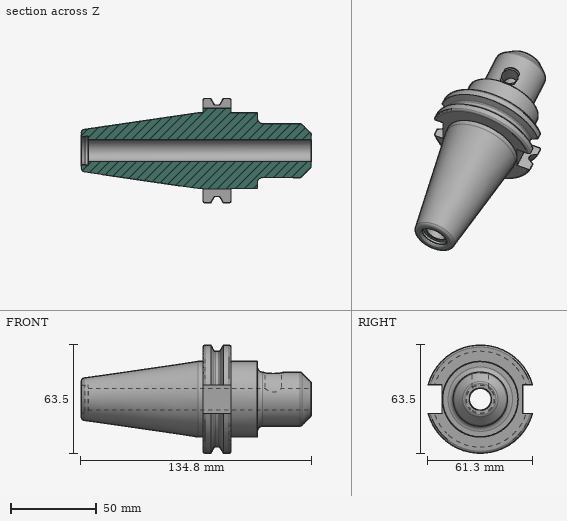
import cadquery as cq
import math

total_length = 134.8
gauge_x = 68.5
flange_start_x = 71.3
flange_end_x = 87.8
collar_end_x = 103.3
groove_middle_x = 79.5

gauge_radius = 44.5 / 2
flange_radius = 63.5 / 2
nose_radius = 31.8 / 2

taper_ratio = 7 / 24
small_end_radius = gauge_radius - gauge_x * taper_ratio / 2
small_end_fillet = 2.0

groove_mouth_width = 7.3
groove_depth = 3.6
groove_side_angle = math.radians(30)
groove_corner_fillet = 1.0
flange_edge_fillet = 1.2

collar_chamfer = 0.3
collar_root_fillet = 3.0
nose_bevel = 6.0
nose_edge_fillet = 1.8

bore_radius = 12.7 / 2
bore_lead_radius = 13.3 / 2
counterbore_radius = 16.3 / 2
counterbore_depth = 4.0
mouth_rounding = 1.0
undercut_start_depth = 2.3
undercut_radius = 16.8 / 2

slot_width = 16.7
slot_floor_front = 22.5
slot_floor_back = 25.0

screw_x = 112.4
screw_hole_diameter = 9.7
spotface_diameter = 11.9
spotface_depth = 0.7


def revolve_about_x(profile):
    """Turn a closed profile, drawn as (x, radius), about the tool axis."""
    return profile.close().revolve(360, (0, 0, 0), (1, 0, 0))


def taper():
    body = revolve_about_x(
        cq.Workplane("XY")
        .lineTo(0, small_end_radius)
        .lineTo(gauge_x, gauge_radius)
        .lineTo(flange_start_x, gauge_radius)
        .lineTo(flange_start_x, 0)
    )
    return body.faces("<X").edges().fillet(small_end_fillet)


def drive_slot(side, floor):
    """Rectangular cutter outside the slot floor on the given Y side."""
    length = flange_end_x - flange_start_x
    depth = flange_radius - floor
    middle_x = (flange_start_x + flange_end_x) / 2
    cutter = cq.Workplane("XY").box(length, depth, slot_width)
    return cutter.translate((middle_x, side * (floor + depth / 2), 0))


def flange():
    length = flange_end_x - flange_start_x
    disc = (
        cq.Workplane("YZ", origin=(flange_start_x, 0, 0))
        .circle(flange_radius)
        .extrude(length)
        .edges()
        .fillet(flange_edge_fillet)
    )
    groove_floor_radius = flange_radius - groove_depth
    half_mouth = groove_mouth_width / 2
    half_floor = half_mouth - groove_depth * math.tan(groove_side_angle)
    groove = revolve_about_x(
        cq.Workplane("XY")
        .moveTo(groove_middle_x - half_mouth, flange_radius)
        .lineTo(groove_middle_x - half_floor, groove_floor_radius)
        .lineTo(groove_middle_x + half_floor, groove_floor_radius)
        .lineTo(groove_middle_x + half_mouth, flange_radius)
    )
    floor_corners = cq.selectors.RadiusNthSelector(0)
    groove = groove.edges(floor_corners).fillet(groove_corner_fillet)
    disc = disc.cut(groove)
    disc = disc.cut(drive_slot(-1, slot_floor_front))
    return disc.cut(drive_slot(1, slot_floor_back))


def collar_and_nose():
    collar = (
        cq.Workplane("YZ", origin=(flange_end_x, 0, 0))
        .circle(gauge_radius)
        .extrude(collar_end_x - flange_end_x)
        .faces(">X")
        .edges()
        .chamfer(collar_chamfer)
    )
    nose = (
        cq.Workplane("YZ", origin=(collar_end_x, 0, 0))
        .circle(nose_radius)
        .extrude(total_length - collar_end_x)
        .faces(">X")
        .edges()
        .chamfer(nose_bevel)
    )
    nose = nose.faces(">X").edges().fillet(nose_edge_fillet)
    bevel_start = cq.selectors.NearestToPointSelector((total_length - nose_bevel, 0, 0))
    nose = nose.edges(bevel_start).fillet(nose_edge_fillet)
    root_end_x = collar_end_x + collar_root_fillet
    root_radius = nose_radius + collar_root_fillet
    arc_offset = collar_root_fillet * (1 - math.sqrt(0.5))
    root = revolve_about_x(
        cq.Workplane("XY")
        .moveTo(collar_end_x, 0)
        .lineTo(collar_end_x, root_radius)
        .threePointArc(
            (collar_end_x + arc_offset, nose_radius + arc_offset),
            (root_end_x, nose_radius),
        )
        .lineTo(root_end_x, 0)
    )
    return collar.union(nose).union(root)


def axial_bore():
    mouth_radius = counterbore_radius + mouth_rounding
    lead_depth = counterbore_depth + bore_lead_radius - bore_radius
    arc_x = mouth_rounding * (1 - math.sqrt(0.5))
    arc_radius = mouth_radius - mouth_rounding * math.sqrt(0.5)
    return revolve_about_x(
        cq.Workplane("XY")
        .lineTo(0, mouth_radius)
        .threePointArc((arc_x, arc_radius), (mouth_rounding, counterbore_radius))
        .lineTo(undercut_start_depth, counterbore_radius)
        .lineTo(undercut_start_depth, undercut_radius)
        .lineTo(counterbore_depth, undercut_radius)
        .lineTo(counterbore_depth, bore_lead_radius)
        .lineTo(lead_depth, bore_radius)
        .lineTo(total_length, bore_radius)
        .lineTo(total_length, 0)
    )


def screw_hole():
    """Radial hole down to the bore, with a flat seat at its mouth."""
    hole = (
        cq.Workplane("XY", origin=(screw_x, 0, 0))
        .circle(screw_hole_diameter / 2)
        .extrude(nose_radius)
    )
    spotface = (
        cq.Workplane("XY", origin=(screw_x, 0, nose_radius - spotface_depth))
        .circle(spotface_diameter / 2)
        .extrude(spotface_depth)
    )
    return hole.union(spotface)


holder = taper().union(flange()).union(collar_and_nose())
result = holder.cut(axial_bore()).cut(screw_hole())